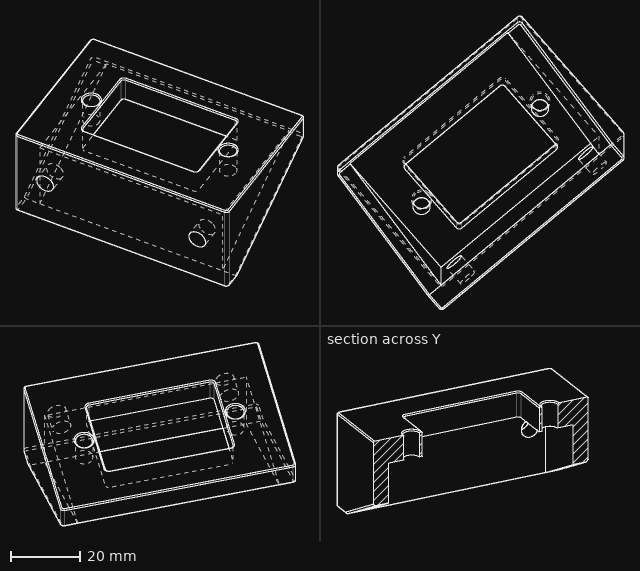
import cadquery as cq

width = 70.0
depth = 47.0
height = 30.0

plate_thickness = 8.0
front_wall_thickness = 6.0
gusset_thickness = 5.0

corner_radius = 1.0
top_chamfer = 0.4
underside_chamfer = 0.6

window_width = 38.0
window_depth = 25.0
window_corner_radius = 1.0

plate_hole_diameter = 5.0
plate_hole_spacing = 45.0
wall_hole_diameter = 5.5
wall_hole_spacing = 50.0

plate_underside = height - plate_thickness
plate_centre_y = depth / 2
wall_hole_height = height / 2


def wedge_body():
    """Solid wedge with rounded upright corners and chamfered outer edges."""
    profile = [
        (0, 0),
        (front_wall_thickness, 0),
        (depth, plate_underside),
        (depth, height),
        (0, height),
    ]
    body = cq.Workplane("YZ").polyline(profile).close().extrude(width / 2, both=True)
    body = body.edges("|Z").fillet(corner_radius)

    body = body.faces(">Z").edges().chamfer(top_chamfer)

    crease = cq.NearestToPointSelector((0, front_wall_thickness, 0))
    slope_facing = cq.Vector(0, plate_underside, front_wall_thickness - depth)
    slope = cq.selectors.ParallelDirSelector(slope_facing)
    underside = cq.selectors.SumSelector(cq.StringSyntaxSelector("<Z"), slope)
    rims = cq.selectors.SubtractSelector(cq.StringSyntaxSelector("not(|Z)"), crease)
    return body.faces(underside).edges(rims).chamfer(underside_chamfer)


def under_pocket():
    """Space under the plate, behind the front wall and between the gussets."""
    return cq.Workplane("XY", origin=(0, front_wall_thickness, 0)).box(
        width - 2 * gusset_thickness,
        depth,
        plate_underside,
        centered=(True, False, False),
    )


def plate_openings():
    """Window and two screw holes through the plate."""
    plate = cq.Workplane("XY", origin=(0, plate_centre_y, plate_underside))
    window = (
        plate.rect(window_width, window_depth)
        .extrude(plate_thickness)
        .edges("|Z")
        .fillet(window_corner_radius)
    )
    hole_x = plate_hole_spacing / 2
    holes = (
        plate.pushPoints([(-hole_x, 0), (hole_x, 0)])
        .circle(plate_hole_diameter / 2)
        .extrude(plate_thickness)
    )
    return window.add(holes).combine()


def wall_holes():
    """Two screw holes through the front wall, running in Y."""
    hole_x = wall_hole_spacing / 2
    return (
        cq.Workplane("XZ", origin=(0, 0, wall_hole_height))
        .pushPoints([(-hole_x, 0), (hole_x, 0)])
        .circle(wall_hole_diameter / 2)
        .extrude(-front_wall_thickness)
    )


def chamfer_opening_rims(body):
    """Chamfer the upper rims of the window and of the plate screw holes."""
    reach_x = window_width / 2 + top_chamfer
    reach_y = window_depth / 2 + top_chamfer
    near_window = cq.selectors.BoxSelector(
        (-reach_x, plate_centre_y - reach_y, plate_underside),
        (reach_x, plate_centre_y + reach_y, height + top_chamfer),
    )
    window_rims = body.faces(">Z").edges(near_window)
    body = window_rims.chamfer(top_chamfer)
    hole_rims = body.faces(">Z").edges("%CIRCLE").edges(cq.selectors.RadiusNthSelector(-1))
    return hole_rims.chamfer(top_chamfer)


bracket = wedge_body().cut(under_pocket()).cut(plate_openings()).cut(wall_holes())
result = chamfer_opening_rims(bracket)